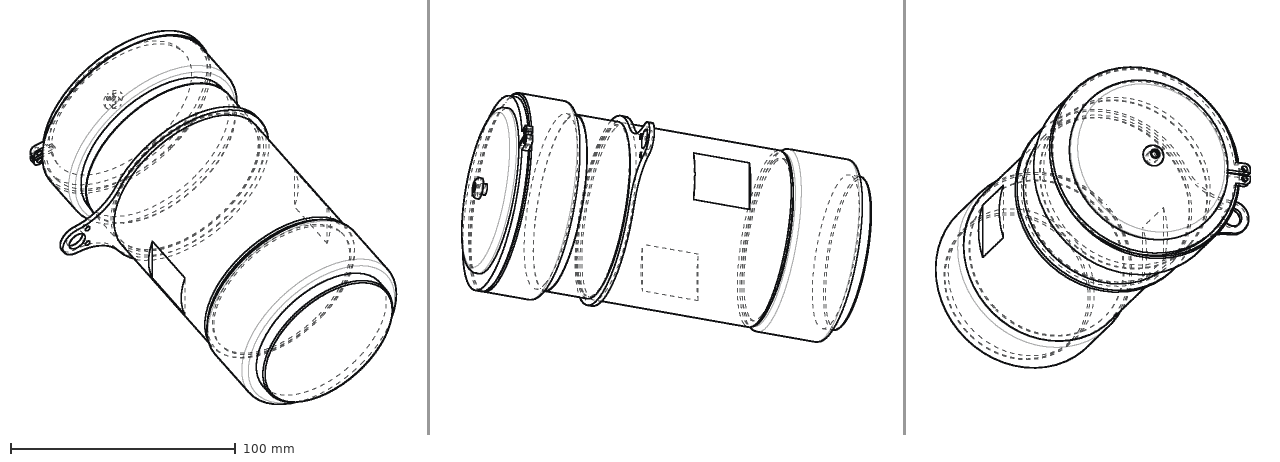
import cadquery as cq
import math

SCREW_RIM_X = 2.3
SCREW_SEAT_X = 3.0
DISC_X = 5.5
CLIP_X = 9.1
CAP_X = 12.0
CAP_END_X = 35.8
NECK_END_X = 40.2
GROOVE_X = 60.1
PLATE_X = 60.6
GROOVE_END_X = 63.0
BODY_END_X = 136.5
REAR_CAP_X = 137.5
REAR_CAP_END_X = 168.8
LENGTH = 174.8

DISC_D = 75.0
CAP_D = 90.0
NECK_D = 79.3
BODY_D = 80.0
GROOVE_D = 78.0
REAR_GAP_D = 73.5
REAR_CAP_D = 82.7
TAIL_D = 69.5

DISC_ROUND = 2.5
CAP_ROUND = 2.1
CAP_FRONT_CHAMFER = 0.7
TAIL_CHAMFER = 0.7
BODY_CHAMFER_LENGTH = 1.0
BODY_CHAMFER_DEPTH = 0.5

SCREW_HEAD_D = 9.5
SCREW_SHANK_D = 5.0
SOCKET_MOUTH_D = 4.2
SOCKET_MOUTH_DEPTH = 0.5
SOCKET_FLATS = 3.0
SOCKET_DEPTH = 1.5

CLIP_D = 88.0
CLIP_OFFSET_Y = 1.7
CLIP_SLOT = 1.5
EAR_TIP_Y = -48.8
EAR_ROOT_Y = -40.2
EAR_WIDTH = 10.0
EAR_ROUND = 2.5
EAR_HOLE_D = 2.5
EAR_HOLE_Y = -46.0
EAR_HOLE_Z = 2.5

PLATE_D = 85.8
LUG_TIP_Y = -67.5
LUG_R = 7.7
LUG_HOLE_D = 8.5
PIN_HOLE_D = 2.5
PIN_HOLE_Y = -54.2
PIN_HOLE_Z = 4.9

FLAT_X = 90.5
FLAT_LENGTH = 26.0
FLAT_HEIGHT = 25.0


def disc(diameter, start, end, center_y=0.0):
    """Cylinder along X between two stations."""
    return cq.Workplane("YZ", origin=(start, center_y, 0)).circle(diameter / 2).extrude(end - start)


def make_housing():
    """Cover disc, caps, body and tail, all turned about the X axis."""
    cover = disc(DISC_D, DISC_X, CAP_X).faces("<X").edges().fillet(DISC_ROUND)
    cap = disc(CAP_D, CAP_X, CAP_END_X)
    cap = cap.faces("<X").edges().chamfer(CAP_FRONT_CHAMFER)
    cap = cap.faces(">X").edges().fillet(CAP_ROUND)
    neck = disc(NECK_D, CAP_END_X, NECK_END_X)
    rear_gap = disc(REAR_GAP_D, BODY_END_X, REAR_CAP_X)
    rear_cap = disc(REAR_CAP_D, REAR_CAP_X, REAR_CAP_END_X).edges().fillet(CAP_ROUND)
    tail = disc(TAIL_D, REAR_CAP_END_X, LENGTH).faces(">X").edges().chamfer(TAIL_CHAMFER)
    housing = cover
    for section in (cap, neck, make_body(), rear_gap, rear_cap, tail):
        housing = housing.union(section)
    return housing


def make_body():
    """Main barrel with a groove for the lug plate and a flat on each side."""
    body = disc(BODY_D, NECK_END_X, BODY_END_X)
    body = body.faces(">X").edges().chamfer(BODY_CHAMFER_LENGTH, BODY_CHAMFER_DEPTH)
    groove = disc(BODY_D, GROOVE_X, GROOVE_END_X).cut(disc(GROOVE_D, GROOVE_X, GROOVE_END_X))
    body = body.cut(groove)
    flat_y = math.sqrt((BODY_D / 2) ** 2 - (FLAT_HEIGHT / 2) ** 2)
    cut_depth = BODY_D / 2 - flat_y
    for side in (-1, 1):
        center = (FLAT_X + FLAT_LENGTH / 2, side * (flat_y + cut_depth / 2), 0)
        body = body.cut(cq.Workplane("XY").box(FLAT_LENGTH, cut_depth, FLAT_HEIGHT).translate(center))
    return body


def make_screw():
    """Domed screw with a countersunk hexagon socket."""
    rim_r = SCREW_HEAD_D / 2
    tip_r = rim_r - SCREW_RIM_X
    shank_r = SCREW_SHANK_D / 2
    diagonal = SCREW_RIM_X * math.sqrt(0.5)
    dome_mid = (SCREW_RIM_X - diagonal, tip_r + diagonal)
    screw = (
        cq.Workplane("XY")
        .moveTo(0, 0)
        .lineTo(0, tip_r)
        .threePointArc(dome_mid, (SCREW_RIM_X, rim_r))
        .lineTo(SCREW_SEAT_X, rim_r)
        .lineTo(SCREW_SEAT_X, shank_r)
        .lineTo(DISC_X, shank_r)
        .lineTo(DISC_X, 0)
        .close()
        .revolve(360, (0, 0, 0), (1, 0, 0))
    )
    corner_d = SOCKET_FLATS / math.cos(math.pi / 6)
    socket = cq.Workplane("YZ").polygon(6, corner_d).extrude(SOCKET_DEPTH)
    hexagon_r = SOCKET_FLATS / 2
    mouth = (
        cq.Workplane("XY")
        .polyline([(0, 0), (0, SOCKET_MOUTH_D / 2), (SOCKET_MOUTH_DEPTH, hexagon_r), (SOCKET_MOUTH_DEPTH, 0)])
        .close()
        .revolve(360, (0, 0, 0), (1, 0, 0))
    )
    return screw.cut(socket).cut(mouth)


def make_clip():
    """Offset retaining ring with a slot between two drilled ears."""
    thickness = CAP_X - CLIP_X
    ear_length = EAR_ROOT_Y - EAR_TIP_Y
    ears = (
        cq.Workplane("XY")
        .box(thickness, ear_length, EAR_WIDTH)
        .edges("|X and <Y")
        .fillet(EAR_ROUND)
        .translate((CLIP_X + thickness / 2, EAR_TIP_Y + ear_length / 2, 0))
    )
    slot_length = -DISC_D / 2 - EAR_TIP_Y
    slot = cq.Workplane("XY").box(thickness, slot_length, CLIP_SLOT)
    slot = slot.translate((CLIP_X + thickness / 2, EAR_TIP_Y + slot_length / 2, 0))
    clip = disc(CLIP_D, CLIP_X, CAP_X, CLIP_OFFSET_Y).union(ears).cut(slot)
    holes = (
        cq.Workplane("YZ", origin=(CLIP_X, 0, 0))
        .pushPoints([(EAR_HOLE_Y, EAR_HOLE_Z), (EAR_HOLE_Y, -EAR_HOLE_Z)])
        .circle(EAR_HOLE_D / 2)
        .extrude(thickness)
    )
    return clip.cut(holes)


def make_lug_plate():
    """Round plate whose -Y side flows through concave arcs into a drilled lug."""
    plate_r = PLATE_D / 2
    thickness = GROOVE_END_X - PLATE_X
    lug_y = LUG_TIP_Y + LUG_R
    arc_r = (lug_y**2 + LUG_R**2 - plate_r**2) / (2 * (plate_r - LUG_R))
    arc_z = LUG_R + arc_r
    arc_angle = math.atan2(arc_z, -lug_y)
    rim_y = -plate_r * math.cos(arc_angle)
    rim_z = plate_r * math.sin(arc_angle)
    mid_angle = (math.pi / 2 + arc_angle) / 2
    mid_y = lug_y + arc_r * math.cos(mid_angle)
    mid_z = arc_z - arc_r * math.sin(mid_angle)
    lug = (
        cq.Workplane("YZ", origin=(PLATE_X, 0, 0))
        .moveTo(0, 0)
        .lineTo(rim_y, rim_z)
        .threePointArc((mid_y, mid_z), (lug_y, LUG_R))
        .threePointArc((LUG_TIP_Y, 0), (lug_y, -LUG_R))
        .threePointArc((mid_y, -mid_z), (rim_y, -rim_z))
        .close()
        .extrude(thickness)
    )
    holes = (
        cq.Workplane("YZ", origin=(PLATE_X, 0, 0))
        .pushPoints([(PIN_HOLE_Y, PIN_HOLE_Z), (PIN_HOLE_Y, -PIN_HOLE_Z)])
        .circle(PIN_HOLE_D / 2)
        .extrude(thickness)
    )
    plate = disc(PLATE_D, PLATE_X, GROOVE_END_X).union(lug)
    return plate.cut(holes).cut(disc(LUG_HOLE_D, PLATE_X, GROOVE_END_X, lug_y))


result = make_housing().union(make_screw()).union(make_clip()).union(make_lug_plate())